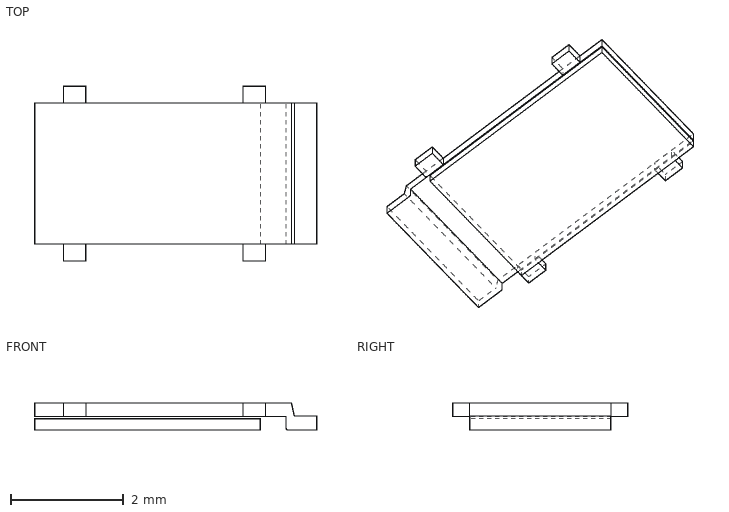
import cadquery as cq

length = 5.0
width = 2.5
height = 0.48
plate_thickness = 0.24
plate_underside = height - plate_thickness
plate_top_end = 4.55
foot_start = 4.45
foot_top = 0.25
step_foot_end = 4.6
foot_edge_radius = 0.04

pad_length = 4.0
pad_thickness = 0.205

tab_length_x = 0.4
tab_reach = 0.3
tab_starts_x = (0.51, 3.69)


def make_clip():
    """Plate and foot, extruded across the full width about Y = 0."""
    profile = (
        cq.Workplane("XZ")
        .moveTo(0, height)
        .lineTo(plate_top_end, height)
        .lineTo(step_foot_end, foot_top)
        .lineTo(length, foot_top)
        .lineTo(length, 0)
        .lineTo(foot_start, 0)
        .lineTo(foot_start, plate_underside)
        .lineTo(0, plate_underside)
        .close()
    )
    clip = profile.extrude(width / 2, both=True)
    inner_bottom_edge = cq.selectors.NearestToPointSelector((foot_start, 0, 0))
    return clip.edges("|Y").edges(inner_bottom_edge).fillet(foot_edge_radius)


def make_pad():
    """Flat rectangular pad, flush with the plate's -X end."""
    return cq.Workplane("XY").box(pad_length, width, pad_thickness, centered=(False, True, False))


def make_tab(start_x, side):
    """Tab as thick as the plate, against its side face at +Y (side = 1) or -Y (side = -1)."""
    center_y = side * (width + tab_reach) / 2
    return (
        cq.Workplane("XY")
        .box(tab_length_x, tab_reach, plate_thickness, centered=(False, True, False))
        .translate((start_x, center_y, plate_underside))
    )


clip = make_clip()
pad = make_pad()
tabs = [make_tab(start_x, side) for start_x in tab_starts_x for side in (-1, 1)]

result = cq.Compound.makeCompound([clip.val(), pad.val(), *[tab.val() for tab in tabs]])